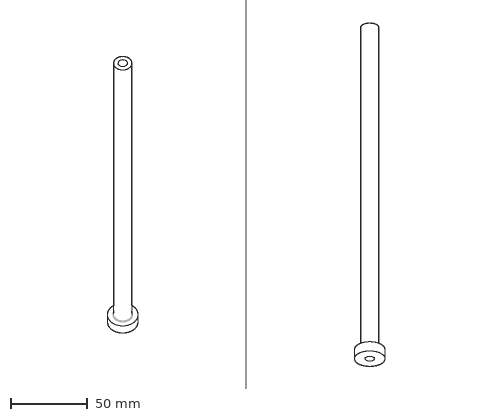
import cadquery as cq

total_length = 250.0
head_diameter = 20.0
head_height = 7.0
tube_diameter = 12.0
bore_diameter = 6.0
fillet_radius = 0.5

head = cq.Workplane("XY").circle(head_diameter / 2).extrude(head_height)

tube = cq.Workplane("XY").circle(tube_diameter / 2).extrude(total_length)

body = head.union(tube)
root_edge = cq.selectors.RadiusNthSelector(0)
body = body.faces(cq.selectors.NearestToPointSelector((0, head_diameter / 2, head_height))).edges(root_edge)
body = body.fillet(fillet_radius)

bore = cq.Workplane("XY").circle(bore_diameter / 2).extrude(total_length)

result = body.cut(bore)